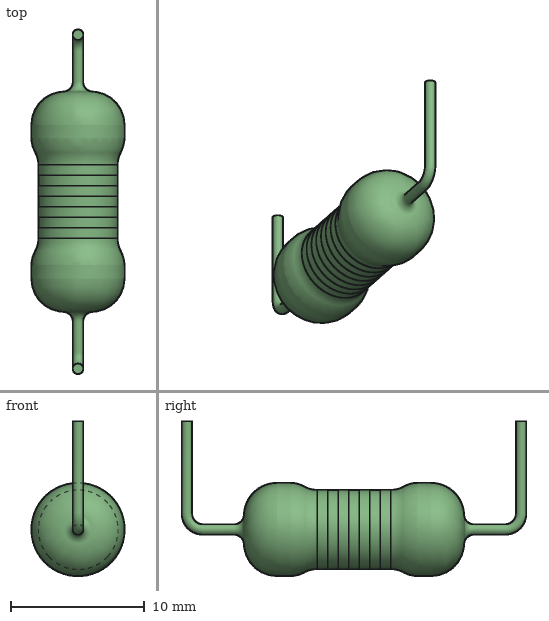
import cadquery as cq
import math


lead_diameter = 0.8
lead_pitch = 25.0
lead_height = 8.1
bend_radius = 1.2

cap_diameter = 7.0
waist_diameter = 5.95
band_diameter = 5.97
band_count = 4
waist_length = 5.5
shoulder_length = 2.0
cap_straight_length = 1.0
dome_radius = 2.5
root_fillet_radius = 0.7

lead_radius = lead_diameter / 2
cap_radius = cap_diameter / 2
waist_radius = waist_diameter / 2
waist_half_length = waist_length / 2
band_width = waist_length / (2 * band_count - 1)
cap_start = waist_half_length + shoulder_length
dome_start = cap_start + cap_straight_length
bend_start = lead_pitch / 2 - bend_radius

shoulder_half_length = shoulder_length / 2
shoulder_half_rise = (cap_radius - waist_radius) / 2
shoulder_radius = (shoulder_half_length**2 + shoulder_half_rise**2) / (2 * shoulder_half_rise)

dome_center_height = cap_radius - dome_radius
fillet_center_height = lead_radius + root_fillet_radius
center_distance = dome_radius + root_fillet_radius
center_rise = fillet_center_height - dome_center_height
center_run = math.sqrt(center_distance**2 - center_rise**2)
fillet_end = dome_start + center_run
dome_share = dome_radius / center_distance
dome_end = dome_start + dome_share * center_run
dome_end_radius = dome_center_height + dome_share * center_rise


def make_cap():
    """Body end on the +Y side: shoulder, domed cap and root fillet."""
    profile = (
        cq.Workplane("YZ")
        .moveTo(waist_half_length, 0)
        .lineTo(waist_half_length, waist_radius)
        .radiusArc(
            (waist_half_length + shoulder_half_length, waist_radius + shoulder_half_rise),
            -shoulder_radius,
        )
        .radiusArc((cap_start, cap_radius), shoulder_radius)
        .lineTo(dome_start, cap_radius)
        .radiusArc((dome_end, dome_end_radius), dome_radius)
        .radiusArc((fillet_end, lead_radius), -root_fillet_radius)
        .lineTo(fillet_end, 0)
        .close()
    )
    return profile.revolve(360, (0, 0, 0), (1, 0, 0))


def make_lead():
    """Lead on the +Y side: straight root, bend and upright leg."""
    bend_offset = bend_radius * math.sin(math.pi / 4)
    bend_middle = (bend_start + bend_offset, bend_radius - bend_offset)
    path = (
        cq.Workplane("YZ")
        .moveTo(fillet_end, 0)
        .lineTo(bend_start, 0)
        .threePointArc(bend_middle, (lead_pitch / 2, bend_radius))
        .lineTo(lead_pitch / 2, lead_height)
    )
    section = cq.Workplane("XZ", origin=(0, fillet_end, 0)).circle(lead_radius)
    return section.sweep(path)


def make_disc(diameter, start, length):
    """Cylinder on the body axis, running towards +Y from the given Y."""
    return cq.Workplane("XZ", origin=(0, start, 0)).circle(diameter / 2).extrude(-length)


end = make_cap().union(make_lead())
result = make_disc(waist_diameter, -waist_half_length, waist_length)
result = result.union(end).union(end.mirror("XZ"))
for index in range(band_count):
    band_start = -waist_half_length + 2 * index * band_width
    result = result.union(make_disc(band_diameter, band_start, band_width))